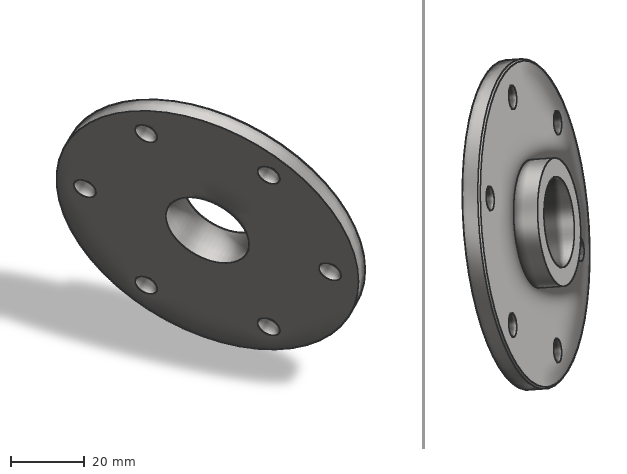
import cadquery as cq

flange_diameter = 90.0
flange_thickness = 5.0
flange_chamfer = 0.5

total_depth = 12.0
hub_diameter = 35.0
bore_diameter = 24.75

bolt_count = 6
bolt_circle_diameter = 73.0
bolt_hole_diameter = 6.6


def cylinder(diameter, length):
    """Cylinder on the Y axis, running from the front face toward +Y."""
    return cq.Workplane("XZ").circle(diameter / 2).extrude(-length)


def make_flange():
    return cylinder(flange_diameter, flange_thickness).faces(">Y").chamfer(flange_chamfer)


def make_bolt_holes():
    return (
        cq.Workplane("XZ")
        .polarArray(bolt_circle_diameter / 2, 0, 360, bolt_count)
        .circle(bolt_hole_diameter / 2)
        .extrude(-flange_thickness)
    )


hub = cylinder(hub_diameter, total_depth)
bore = cylinder(bore_diameter, total_depth)

result = make_flange().union(hub).cut(bore).cut(make_bolt_holes())